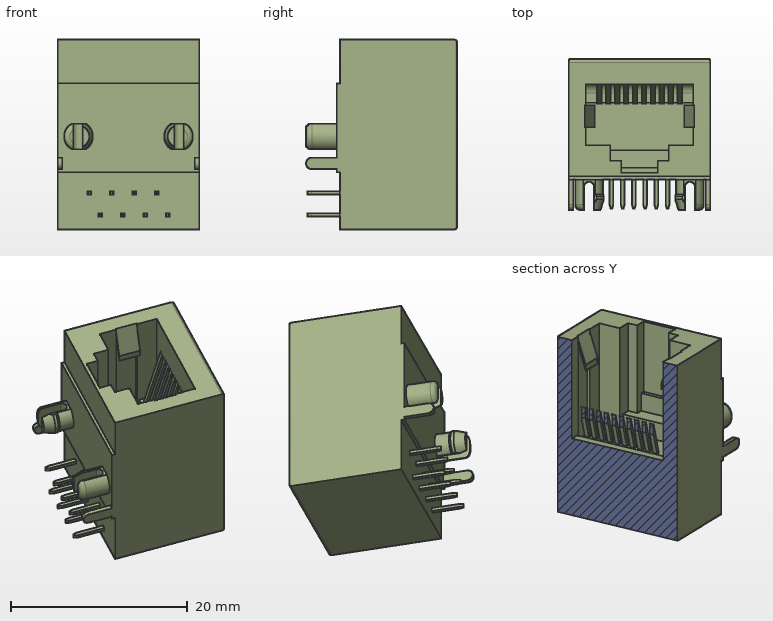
import cadquery as cq


WIDTH = 16.0
HEIGHT = 21.5
TOTAL_DEPTH = 17.1
LEG_REACH = 3.83
BODY_DEPTH = TOTAL_DEPTH - LEG_REACH
SIDE_ROUNDING = 0.17
END_ROUNDING = 0.35

PAD_BOTTOM = 6.47
PAD_TOP = 16.53
PAD_THICKNESS = 0.37

CAVITY_HALF_WIDTH = 6.06
CONTACT_WALL_Y = 10.43
CAVITY_FRONT_Y = 3.53
CHANNEL_HALF_WIDTH = 3.33
CHANNEL_FRONT_Y = 1.76
KEYWAY_HALF_WIDTH = 2.09
KEYWAY_FRONT_Y = 0.43

FLOOR_Z = 8.6
SHELF_Z = 9.45
SHELF_FRONT_Y = 8.3
SHELF_ROUNDING = 0.99
CHANNEL_FLOOR_Z = 10.75
CHANNEL_FLOOR_BACK_Y = 2.92
KEYWAY_FLOOR_Z = 12.9
KEYWAY_FLOOR_BACK_Y = 0.97

WIRE_COUNT = 10
WIRE_PITCH = 1.0
WIRE_WIDTH = 0.54
WIRE_DEPTH = 0.39
WIRE_TOP_Z = 17.48
WIRE_END_Y = 8.21
WIRE_SLOPE = 3.5

SPRING_FRONT_Y = 5.53
SPRING_BACK_Y = 8.05
RECESS_DEPTH = 0.35
SPRING_ROOT_DEPTH = 0.13
SPRING_TIP_X = 5.05
SPRING_DROP = 3.27
SPRING_THICKNESS = 0.73

POST_X = 5.7
POST_Z = 10.54
POST_RADIUS = 1.6
POST_FLAT_HEIGHT = 2.88
POST_TIP_ROUNDING = 0.65
SLOT_WIDTH = 1.1
SLOT_ROOT_Y = -0.62
BARB_START = 2.02
BARB_FULL = 2.24
BARB_END = 2.6
BARB_RADIUS = 1.68
BARB_TIP_RADIUS = 1.27

TAB_BOTTOM = 6.84
TAB_HEIGHT = 1.31
TAB_THICKNESS = 0.52

PINS_PER_ROW = 4
PIN_PITCH = 2.54
PIN_WIDTH = 0.45
PIN_THICKNESS = 0.39
PIN_LENGTH = 3.65
PIN_TAPER_START = 3.2
PIN_TIP_WIDTH = 0.2
LOWER_ROW_Z = 1.68
UPPER_ROW_Z = 4.15
PIN_ROW_SHIFT = PIN_PITCH / 4

EMBED = 0.22


def block(x_min, x_max, y_min, y_max, z_min, z_max):
    size = (x_max - x_min, y_max - y_min, z_max - z_min)
    return cq.Workplane("XY").box(*size, centered=False).translate((x_min, y_min, z_min))


def centered_block(half_width, y_min, y_max, z_min, z_max):
    return block(-half_width, half_width, y_min, y_max, z_min, z_max)


def mirrored_pair(feature):
    return feature.union(feature.mirror("YZ"))


def make_body():
    side_rounded = centered_block(WIDTH / 2, 0, BODY_DEPTH, 0, HEIGHT)
    side_rounded = side_rounded.faces(">Y").edges("|Z").fillet(SIDE_ROUNDING)
    end_rounded = centered_block(WIDTH / 2, 0, BODY_DEPTH, 0, HEIGHT)
    end_rounded = end_rounded.faces(">Y").edges("|X").fillet(END_ROUNDING)
    body = side_rounded.intersect(end_rounded)
    pad = centered_block(WIDTH / 2, -PAD_THICKNESS, EMBED, PAD_BOTTOM, PAD_TOP)
    return body.union(pad)


def make_cavity():
    room = centered_block(CAVITY_HALF_WIDTH, CAVITY_FRONT_Y, CONTACT_WALL_Y, FLOOR_Z, HEIGHT)
    shelf = centered_block(CAVITY_HALF_WIDTH, SHELF_FRONT_Y, CONTACT_WALL_Y, FLOOR_Z, SHELF_Z)
    room = room.cut(shelf)
    room = room.faces(">Y").edges("<Z").fillet(SHELF_ROUNDING)

    latch_steps = (
        (CHANNEL_HALF_WIDTH, CHANNEL_FLOOR_BACK_Y, CAVITY_FRONT_Y, FLOOR_Z),
        (CHANNEL_HALF_WIDTH, CHANNEL_FRONT_Y, CHANNEL_FLOOR_BACK_Y, CHANNEL_FLOOR_Z),
        (KEYWAY_HALF_WIDTH, KEYWAY_FLOOR_BACK_Y, CHANNEL_FRONT_Y, CHANNEL_FLOOR_Z),
        (KEYWAY_HALF_WIDTH, KEYWAY_FRONT_Y, KEYWAY_FLOOR_BACK_Y, KEYWAY_FLOOR_Z),
    )
    for half_width, front_y, back_y, floor_z in latch_steps:
        room = room.union(centered_block(half_width, front_y, back_y, floor_z, HEIGHT))
    return room


def make_spring_recess():
    back_x = CAVITY_HALF_WIDTH + RECESS_DEPTH
    return block(CAVITY_HALF_WIDTH - EMBED, back_x, SPRING_FRONT_Y, SPRING_BACK_Y, FLOOR_Z, HEIGHT)


def make_spring():
    root_x = CAVITY_HALF_WIDTH + SPRING_ROOT_DEPTH
    anchor_x = CAVITY_HALF_WIDTH + RECESS_DEPTH + EMBED
    tip_z = HEIGHT - SPRING_DROP
    outline = [
        (anchor_x, HEIGHT),
        (root_x, HEIGHT),
        (SPRING_TIP_X, tip_z),
        (SPRING_TIP_X, tip_z - SPRING_THICKNESS),
        (root_x, HEIGHT - SPRING_THICKNESS),
        (anchor_x, HEIGHT - SPRING_THICKNESS),
    ]
    plate = cq.Workplane("XZ").polyline(outline).close().extrude(SPRING_FRONT_Y - SPRING_BACK_Y)
    return plate.translate((0, SPRING_FRONT_Y, 0))


def make_wire(x):
    end_z = WIRE_TOP_Z - WIRE_SLOPE * (CONTACT_WALL_Y - WIRE_END_Y)
    outline = [
        (CONTACT_WALL_Y, WIRE_TOP_Z),
        (WIRE_END_Y, end_z),
        (WIRE_END_Y + WIRE_DEPTH, end_z),
        (CONTACT_WALL_Y + WIRE_DEPTH, WIRE_TOP_Z),
    ]
    wire = cq.Workplane("YZ").polyline(outline).close().extrude(WIRE_WIDTH / 2, both=True)
    return wire.translate((x, 0, 0))


def make_post():
    """Left post: a plain outer leg and a barbed inner leg either side of a slot."""
    plain = cq.Workplane("XZ").circle(POST_RADIUS).extrude(LEG_REACH)
    plain = plain.faces("<Y").edges().fillet(POST_TIP_ROUNDING)
    outer_leg = plain.intersect(block(-POST_RADIUS, 0, -LEG_REACH, 0, -POST_RADIUS, POST_RADIUS))

    barb_profile = [
        (0, 0),
        (POST_RADIUS, 0),
        (POST_RADIUS, -BARB_START),
        (BARB_RADIUS, -BARB_FULL),
        (BARB_RADIUS, -BARB_END),
        (BARB_TIP_RADIUS, -LEG_REACH),
        (0, -LEG_REACH),
    ]
    barbed = cq.Workplane("XY").polyline(barb_profile).close().revolve(360, (0, 0), (0, 1))
    inner_leg = barbed.intersect(block(0, BARB_RADIUS, -LEG_REACH, 0, -BARB_RADIUS, BARB_RADIUS))

    flat = POST_FLAT_HEIGHT / 2
    post = outer_leg.union(inner_leg)
    post = post.intersect(centered_block(BARB_RADIUS, -LEG_REACH, 0, -flat, flat))

    slot_radius = SLOT_WIDTH / 2
    slot_center_y = SLOT_ROOT_Y - slot_radius
    slot = centered_block(slot_radius, -LEG_REACH, slot_center_y, -flat, flat)
    slot_root = cq.Workplane("XY").center(0, slot_center_y).circle(slot_radius).extrude(flat, both=True)
    return post.cut(slot).cut(slot_root).translate((-POST_X, 0, POST_Z))


def make_tab():
    radius = TAB_HEIGHT / 2
    tab = (
        cq.Workplane("YZ")
        .moveTo(EMBED, -radius)
        .lineTo(radius - LEG_REACH, -radius)
        .threePointArc((-LEG_REACH, 0), (radius - LEG_REACH, radius))
        .lineTo(EMBED, radius)
        .close()
        .extrude(TAB_THICKNESS)
    )
    return tab.translate((-WIDTH / 2, 0, TAB_BOTTOM + radius))


def make_pin(x, z):
    half = PIN_WIDTH / 2
    half_tip = PIN_TIP_WIDTH / 2
    outline = [
        (-half, EMBED),
        (-half, -PIN_TAPER_START),
        (-half_tip, -PIN_LENGTH),
        (half_tip, -PIN_LENGTH),
        (half, -PIN_TAPER_START),
        (half, EMBED),
    ]
    pin = cq.Workplane("XY").polyline(outline).close().extrude(PIN_THICKNESS / 2, both=True)
    return pin.translate((x, 0, z))


result = make_body().cut(make_cavity()).cut(mirrored_pair(make_spring_recess()))
for attachment in (make_spring(), make_post(), make_tab()):
    result = result.union(mirrored_pair(attachment))

for index in range(WIRE_COUNT):
    result = result.union(make_wire((index - (WIRE_COUNT - 1) / 2) * WIRE_PITCH))

for row_z, row_shift in ((LOWER_ROW_Z, PIN_ROW_SHIFT), (UPPER_ROW_Z, -PIN_ROW_SHIFT)):
    for index in range(PINS_PER_ROW):
        pin_x = (index - (PINS_PER_ROW - 1) / 2) * PIN_PITCH + row_shift
        result = result.union(make_pin(pin_x, row_z))